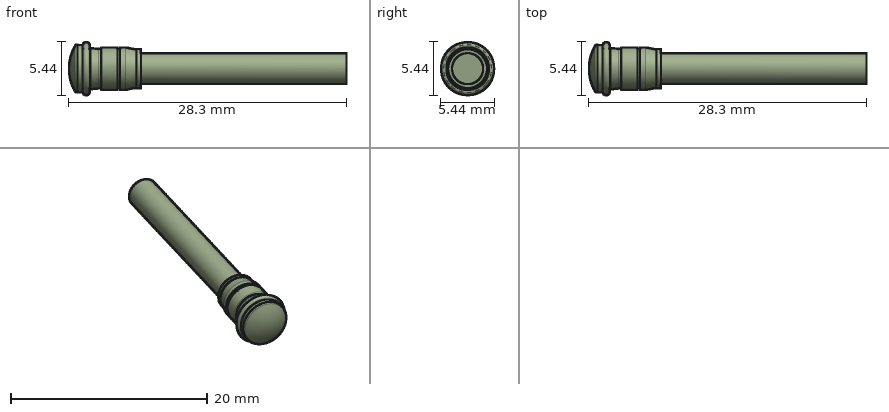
import cadquery as cq
import math

TOTAL_LENGTH = 28.32

RING_OUTER_RADIUS = 2.72
RING_SECTION_RADIUS = 0.37
RING_PATH_RADIUS = RING_OUTER_RADIUS - RING_SECTION_RADIUS

HEAD_RADIUS = 2.44
HEAD_BACK_X = 1.42
DOME_RIM_RADIUS = 2.35
DOME_HEIGHT = 0.65
RIM_ROUND_END_X = 0.9

SEAT_RADIUS = RING_OUTER_RADIUS - 2 * RING_SECTION_RADIUS
SEAT_CLEARANCE = 0.05
SEAT_END_X = HEAD_BACK_X + 2 * RING_SECTION_RADIUS + SEAT_CLEARANCE
RING_CENTER_X = HEAD_BACK_X + RING_SECTION_RADIUS

NECK_FRONT_RADIUS = 2.12
NECK_RADIUS = 2.05
NECK_TAPER_END_X = 3.03

BAND_RADIUS = 2.18
BAND_START_X = 3.29
BAND_ROUND = 0.15
GROOVE_START_X = 4.95
GROOVE_END_X = 5.25
REAR_BAND_END_X = 5.8

TAPER_END_RADIUS = 1.98
TAPER_END_X = 6.83
COLLAR_RADIUS = 2.0
COLLAR_START_X = 6.9
PLUG_END_X = 7.35

SHAFT_RADIUS = 1.6


def arc_midpoint(center, radius, angle):
    """Point on a circle at an angle given in degrees."""
    turn = math.radians(angle)
    return center[0] + radius * math.cos(turn), center[1] + radius * math.sin(turn)


def dome_midpoint():
    """Point on the spherical dome halfway out to its rim."""
    sphere_radius = (DOME_RIM_RADIUS**2 + DOME_HEIGHT**2) / (2 * DOME_HEIGHT)
    mid_radius = DOME_RIM_RADIUS / 2
    return sphere_radius - math.sqrt(sphere_radius**2 - mid_radius**2), mid_radius


def turn_about_x(profile):
    return profile.revolve(360, (0, 0, 0), (1, 0, 0))


def make_plug():
    """Domed plug with a ring seat, neck, grooved bands and end collar."""
    band_round_center = (BAND_START_X + BAND_ROUND, BAND_RADIUS - BAND_ROUND)
    profile = (
        cq.Workplane("XY")
        .moveTo(0, 0)
        .threePointArc(dome_midpoint(), (DOME_HEIGHT, DOME_RIM_RADIUS))
        .tangentArcPoint((RIM_ROUND_END_X, HEAD_RADIUS), relative=False)
        .lineTo(HEAD_BACK_X, HEAD_RADIUS)
        .lineTo(HEAD_BACK_X, SEAT_RADIUS)
        .lineTo(SEAT_END_X, SEAT_RADIUS)
        .lineTo(SEAT_END_X, NECK_FRONT_RADIUS)
        .lineTo(NECK_TAPER_END_X, NECK_RADIUS)
        .lineTo(BAND_START_X, NECK_RADIUS)
        .threePointArc(
            arc_midpoint(band_round_center, BAND_ROUND, 135),
            (BAND_START_X + BAND_ROUND, BAND_RADIUS),
        )
        .lineTo(GROOVE_START_X, BAND_RADIUS)
        .lineTo(GROOVE_START_X, NECK_RADIUS)
        .lineTo(GROOVE_END_X, NECK_RADIUS)
        .lineTo(GROOVE_END_X, BAND_RADIUS)
        .lineTo(REAR_BAND_END_X, BAND_RADIUS)
        .lineTo(TAPER_END_X, TAPER_END_RADIUS)
        .lineTo(COLLAR_START_X, TAPER_END_RADIUS)
        .lineTo(COLLAR_START_X, COLLAR_RADIUS)
        .lineTo(PLUG_END_X, COLLAR_RADIUS)
        .lineTo(PLUG_END_X, 0)
        .close()
    )
    return turn_about_x(profile)


def make_sealing_ring():
    """Round-section ring that sits in the seat behind the head."""
    section = cq.Workplane("XY").center(RING_CENTER_X, RING_PATH_RADIUS).circle(RING_SECTION_RADIUS)
    return section.revolve(360, (0, -RING_PATH_RADIUS, 0), (1, -RING_PATH_RADIUS, 0))


def make_shaft():
    """Plain round shaft that butts against the end of the plug."""
    return (
        cq.Workplane("YZ", origin=(PLUG_END_X, 0, 0))
        .circle(SHAFT_RADIUS)
        .extrude(TOTAL_LENGTH - PLUG_END_X)
    )


plug = make_plug()
sealing_ring = make_sealing_ring()
shaft = make_shaft()

result = cq.Compound.makeCompound([plug.val(), sealing_ring.val(), shaft.val()])